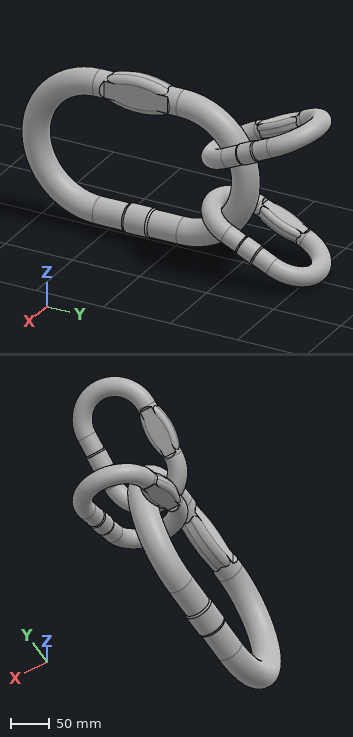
import cadquery as cq
import math

MASTER_WIRE = 38.0
MASTER_INNER_LENGTH = 275.0
MASTER_INNER_WIDTH = 150.0
MASTER_BULGE_HALF_HEIGHT = 26.6

SUB_WIRE = 27.0
SUB_INNER_LENGTH = 140.0
SUB_INNER_WIDTH = 65.0
SUB_BULGE_HALF_HEIGHT = 19.13
SUB_TILT = 25.0
SUB_CENTER_Y = 186.97
SUB_CENTER_Z = 71.8

BULGE_ARC_RADIUS = 3.1
BULGE_HALF_LENGTH = 1.32
BULGE_EDGE_ROUND = 0.25
FLAT_OFFSET = 0.38
FLAT_HALF_LENGTH = 1.25
SLEEVE_RADIUS = 0.5375
SLEEVE_LENGTH = 1.0
SLEEVE_TAPER = 0.08


def oval_wire(wire, inner_length, inner_width):
    """Round wire swept along an oval: two straights along Y and two half-circle bends."""
    half_straight = (inner_length - inner_width) / 2
    bend_radius = (inner_width + wire) / 2
    path = (
        cq.Workplane("XY")
        .moveTo(-bend_radius, -half_straight)
        .lineTo(-bend_radius, half_straight)
        .threePointArc((0, half_straight + bend_radius), (bend_radius, half_straight))
        .lineTo(bend_radius, -half_straight)
        .threePointArc((0, -half_straight - bend_radius), (-bend_radius, -half_straight))
        .close()
    )
    section = cq.Workplane("XZ", origin=(-bend_radius, -half_straight, 0)).circle(wire / 2)
    return section.sweep(path)


def flat_cutter(wire, bend_radius):
    """Trapezoid that cuts a flat with 45 degree ends into the upper face of the -X straight."""
    floor = FLAT_OFFSET * wire
    half_length = FLAT_HALF_LENGTH * wire
    rise = wire - floor
    return (
        cq.Workplane("YZ", origin=(-bend_radius, 0, 0))
        .polyline([
            (-half_length, floor),
            (half_length, floor),
            (half_length + rise, floor + rise),
            (-half_length - rise, floor + rise),
        ])
        .close()
        .extrude(wire, both=True)
    )


def bulge(wire, bend_radius, half_height):
    """Flat-sided pad on the -X straight, bowed outward along Y and with rounded bowed edges."""
    half_length = BULGE_HALF_LENGTH * wire
    arc_radius = BULGE_ARC_RADIUS * wire
    bow = arc_radius - math.sqrt(arc_radius**2 - half_length**2)
    end_height = half_height - bow
    pad = (
        cq.Workplane("XY", origin=(-bend_radius, 0, 0))
        .moveTo(-end_height, -half_length)
        .threePointArc((-half_height, 0), (-end_height, half_length))
        .lineTo(end_height, half_length)
        .threePointArc((half_height, 0), (end_height, -half_length))
        .close()
        .extrude(FLAT_OFFSET * wire, both=True)
    )
    return pad.edges("%CIRCLE").fillet(BULGE_EDGE_ROUND * wire)


def weld_sleeve(wire, bend_radius):
    """Thicker collar with tapered ends around the middle of the +X straight."""
    half_length = SLEEVE_LENGTH * wire / 2
    half_top = half_length - SLEEVE_TAPER * wire
    radius = SLEEVE_RADIUS * wire
    return (
        cq.Workplane("XY", origin=(bend_radius, 0, 0))
        .polyline([
            (0, -half_length),
            (wire / 2, -half_length),
            (radius, -half_top),
            (radius, half_top),
            (wire / 2, half_length),
            (0, half_length),
        ])
        .close()
        .revolve(360, (0, 0, 0), (0, 1, 0))
    )


def link(wire, inner_length, inner_width, bulge_half_height):
    """Complete link lying in the XY plane, bulge on its -X side and sleeve on its +X side."""
    bend_radius = (inner_width + wire) / 2
    flat_cut = flat_cutter(wire, bend_radius)
    body = oval_wire(wire, inner_length, inner_width)
    body = body.cut(flat_cut).cut(flat_cut.mirror("XY"))
    body = body.union(bulge(wire, bend_radius, bulge_half_height))
    return body.union(weld_sleeve(wire, bend_radius))


master_link = link(MASTER_WIRE, MASTER_INNER_LENGTH, MASTER_INNER_WIDTH, MASTER_BULGE_HALF_HEIGHT)
master_link = master_link.rotate((0, 0, 0), (0, 1, 0), 90)

sub_links = []
for side in (1, -1):
    sub_link = (
        link(SUB_WIRE, SUB_INNER_LENGTH, SUB_INNER_WIDTH, SUB_BULGE_HALF_HEIGHT)
        .rotate((0, 0, 0), (1, 0, 0), side * SUB_TILT)
        .translate((0, SUB_CENTER_Y, side * SUB_CENTER_Z))
    )
    sub_links.append(sub_link.solids().val())

result = cq.Compound.makeCompound([master_link.solids().val(), *sub_links])